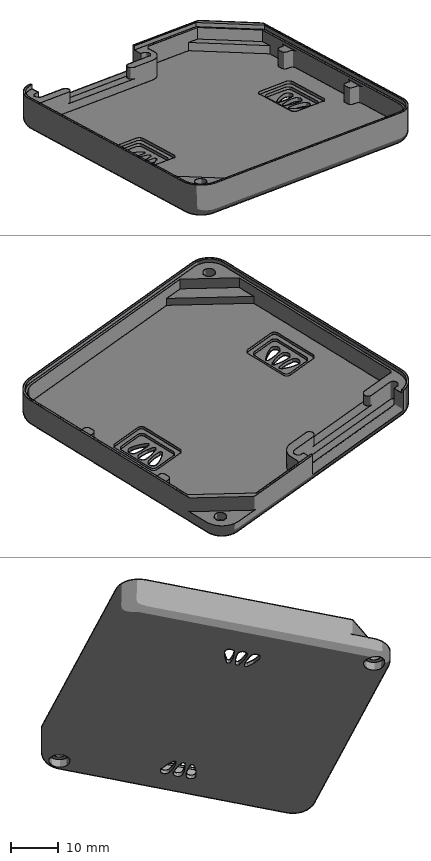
import cadquery as cq
SIDE = 60.0
HEIGHT = 7.85
HALF = SIDE / 2
CORNER_RADIUS = 5.0
BOTTOM_FILLET = 2.15

RIM_THICKNESS = 0.5
WALL_THICKNESS = 1.0
LEDGE_DEPTH = 0.95
FLOOR_Z = 2.3
LEDGE_Z = HEIGHT - LEDGE_DEPTH
INNER_HALF = HALF - WALL_THICKNESS

NOTCH_DIAGONAL = 50.4
NOTCH_RIM_DIAGONAL = 48.9
NOTCH_WALL_DIAGONAL = 48.35
NOTCH_STEP_DIAGONAL = 45.9
NOTCH_SHELF_Z = 4.0
NOTCH_EDGE_FILLET = 0.85
SHELF_DIAGONAL = 49.2
SHELF_STEP_DIAGONAL = 45.05
STEP_Z = 4.2

NOTCH_SCREW = (-26.15, 26.7)
SHELF_SCREW = (26.0, -25.9)
SCREW_DIAMETER = 2.6
SCREW_HEAD_DIAMETER = 4.4
SCREW_HEAD_DEPTH = 2.0

BLOCK_RIGHT_X = -23.4
BLOCK_TOP_Y = 5.2
BLOCK_CORNER_RADIUS = 3.0
BLOCK_ROOT_RADIUS = 1.0
BLOCK_FOOT_RADIUS = 0.5
SLOT_LEFT_X = -27.35
SLOT_WIDTH = 2.0
SLOT_RIGHT_X = SLOT_LEFT_X + SLOT_WIDTH
SLOT_END_RADIUS = 0.999 * SLOT_WIDTH / 2
SLOT_TOP_Y = 4.0
SLOT_BOTTOM_Y = -27.2
SLOT_FLOOR_Z = 2.05
OPENING_TOP_Y = 2.5
OPENING_BOTTOM_Y = -25.4
SILL_Z = 2.35
SILL_FILLET = 0.5
WINDOW_TOP_Y = -3.55
WINDOW_BOTTOM_Y = -19.55
WINDOW_Z = 4.2

PEG_XS = (-10.7, 10.8)
PEG_WIDTH = 2.6
PEG_TIP_Y = 26.6
PEG_TIP_RADIUS = 0.85
PEG_ROOT_RADIUS = 0.9
PEG_TOP_Z = 6.2

VENT_X = 1.0
VENT_TOP_Y = 19.85
VENT_BOTTOM_Y = -21.0
VENT_OUTER_SIZE = (12.0, 9.0)
VENT_INNER_SIZE = (10.0, 7.0)
VENT_CORNER_RADIUS = 1.0
VENT_STEP = 0.65
DROP_HEAD_RADIUS = 1.0
DROP_TIP_RADIUS = 0.4
DROP_HEAD_Y = 1.45
DROP_TIP_Y = -2.0
DROP_BULGE = 0.2
DROP_SPACING = 2.45
DROP_TILT = 15.0


def box(x0, x1, y0, y1, z0, z1):
    """Box between opposite corners."""
    size = (x1 - x0, y1 - y0, z1 - z0)
    return cq.Workplane("XY").box(*size, centered=False).translate((x0, y0, z0))


def rounded_square(half, radius, z0, z1):
    """Centred square prism with rounded vertical edges."""
    return box(-half, half, -half, half, z0, z1).edges("|Z").fillet(radius)


def corner_region(diagonal, x_sign, z0, z1):
    """Triangular prism over the corner at (x_sign, -x_sign), outside the diagonal."""
    near = diagonal - SIDE
    points = [
        (x_sign * near, -x_sign * SIDE),
        (x_sign * SIDE, -x_sign * SIDE),
        (x_sign * SIDE, -x_sign * near),
    ]
    return cq.Workplane("XY").workplane(offset=z0).polyline(points).close().extrude(z1 - z0)


def fillet_nearest(solid, point, radius):
    """Fillet the one edge whose centre is nearest to the point."""
    return solid.edges(cq.selectors.NearestToPointSelector(point)).fillet(radius)


def side_block():
    """Solid beside the cavity that carries the slot, up to the ledge."""
    block = box(-INNER_HALF, BLOCK_RIGHT_X, -INNER_HALF, BLOCK_TOP_Y, 0, LEDGE_Z)
    return block.edges("|Z and >X and >Y").fillet(BLOCK_CORNER_RADIUS)


def peg(x):
    """Rounded peg standing out from the +Y wall, with flared roots."""
    half = PEG_WIDTH / 2
    flare = half + PEG_ROOT_RADIUS
    neck_y = INNER_HALF - PEG_ROOT_RADIUS
    back_y = HALF - RIM_THICKNESS
    shoulder_y = PEG_TIP_Y + PEG_TIP_RADIUS
    tip_half = half - PEG_TIP_RADIUS
    return (
        cq.Workplane("XY")
        .moveTo(x - flare, back_y)
        .lineTo(x - flare, INNER_HALF)
        .radiusArc((x - half, neck_y), PEG_ROOT_RADIUS)
        .lineTo(x - half, shoulder_y)
        .radiusArc((x - tip_half, PEG_TIP_Y), -PEG_TIP_RADIUS)
        .lineTo(x + tip_half, PEG_TIP_Y)
        .radiusArc((x + half, shoulder_y), -PEG_TIP_RADIUS)
        .lineTo(x + half, neck_y)
        .radiusArc((x + flare, INNER_HALF), PEG_ROOT_RADIUS)
        .lineTo(x + flare, back_y)
        .close()
        .extrude(PEG_TOP_Z)
    )


def cavity():
    """Main pocket from floor to ledge, leaving the block, pegs and corner fillings."""
    pocket = rounded_square(INNER_HALF, CORNER_RADIUS - WALL_THICKNESS, FLOOR_Z, LEDGE_Z)
    pocket = pocket.cut(corner_region(NOTCH_WALL_DIAGONAL, -1, 0, LEDGE_Z))
    pocket = pocket.cut(corner_region(NOTCH_STEP_DIAGONAL, -1, 0, STEP_Z))
    pocket = pocket.cut(corner_region(SHELF_DIAGONAL, 1, 0, LEDGE_Z))
    pocket = pocket.cut(corner_region(SHELF_STEP_DIAGONAL, 1, 0, STEP_Z))
    pocket = pocket.cut(side_block())
    middle_z = (FLOOR_Z + LEDGE_Z) / 2
    pocket = fillet_nearest(pocket, (-INNER_HALF, BLOCK_TOP_Y, middle_z), BLOCK_ROOT_RADIUS)
    pocket = fillet_nearest(pocket, (BLOCK_RIGHT_X, -INNER_HALF, middle_z), BLOCK_FOOT_RADIUS)
    for x in PEG_XS:
        pocket = pocket.cut(peg(x))
    return pocket


def ledge():
    """Shallow pocket inside the rim."""
    pocket = rounded_square(HALF - RIM_THICKNESS, CORNER_RADIUS - RIM_THICKNESS, LEDGE_Z, HEIGHT)
    return pocket.cut(corner_region(NOTCH_RIM_DIAGONAL, -1, LEDGE_Z, HEIGHT))


def slot():
    """Round-ended slot along the side block."""
    cutter = box(SLOT_LEFT_X, SLOT_RIGHT_X, SLOT_BOTTOM_Y, SLOT_TOP_Y, SLOT_FLOOR_Z, HEIGHT)
    return cutter.edges("|Z").fillet(SLOT_END_RADIUS)


def opening():
    """Side opening from the outer wall to the slot, filleted along its sill ends."""
    middle_x = (SLOT_LEFT_X + SLOT_RIGHT_X) / 2
    cutter = box(-SIDE, middle_x, OPENING_BOTTOM_Y, OPENING_TOP_Y, SILL_Z, HEIGHT)
    return cutter.edges("|X and <Z").fillet(SILL_FILLET)


def window():
    """Gap in the wall between slot and cavity; the wall stubs end in full rounds."""
    radius = (BLOCK_RIGHT_X - SLOT_RIGHT_X) / 2
    middle_x = SLOT_RIGHT_X + radius
    low_y = WINDOW_BOTTOM_Y - radius
    high_y = WINDOW_TOP_Y + radius
    gap = box(SLOT_RIGHT_X, BLOCK_RIGHT_X, low_y, high_y, WINDOW_Z, HEIGHT)
    stubs = cq.Workplane("XY").pushPoints([(middle_x, low_y), (middle_x, high_y)])
    return gap.cut(stubs.circle(radius).extrude(HEIGHT))


def drop():
    """Drop-shaped vent hole with its wide head toward +Y."""
    side_y = (DROP_HEAD_Y + DROP_TIP_Y) / 2
    side_x = (DROP_HEAD_RADIUS + DROP_TIP_RADIUS) / 2 + DROP_BULGE
    return (
        cq.Workplane("XY")
        .moveTo(-DROP_HEAD_RADIUS, DROP_HEAD_Y)
        .threePointArc((0, DROP_HEAD_Y + DROP_HEAD_RADIUS), (DROP_HEAD_RADIUS, DROP_HEAD_Y))
        .threePointArc((side_x, side_y), (DROP_TIP_RADIUS, DROP_TIP_Y))
        .threePointArc((0, DROP_TIP_Y - DROP_TIP_RADIUS), (-DROP_TIP_RADIUS, DROP_TIP_Y))
        .threePointArc((-side_x, side_y), (-DROP_HEAD_RADIUS, DROP_HEAD_Y))
        .close()
        .extrude(HEIGHT)
    )


def vent_recess(size, depth):
    """Rounded rectangular recess sunk below the cavity floor."""
    recess = cq.Workplane("XY").rect(*size).extrude(depth).edges("|Z").fillet(VENT_CORNER_RADIUS)
    return recess.translate((0, 0, FLOOR_Z - depth))


def vent():
    """Two-step recess with three drop-shaped holes, centred on the Z axis."""
    cutter = vent_recess(VENT_OUTER_SIZE, VENT_STEP)
    cutter = cutter.union(vent_recess(VENT_INNER_SIZE, 2 * VENT_STEP))
    for side in (-1, 0, 1):
        hole = drop().rotate((0, 0, 0), (0, 0, 1), -side * DROP_TILT)
        cutter = cutter.union(hole.translate((side * DROP_SPACING, 0, 0)))
    return cutter


body = rounded_square(HALF, CORNER_RADIUS, 0, HEIGHT).faces("<Z").edges().fillet(BOTTOM_FILLET)
body = body.cut(cavity()).cut(ledge())

body = body.cut(corner_region(NOTCH_DIAGONAL, -1, NOTCH_SHELF_Z, HEIGHT))
notch_middle_z = (NOTCH_SHELF_Z + HEIGHT) / 2
for edge_x, edge_y in ((-HALF, NOTCH_DIAGONAL - HALF), (HALF - NOTCH_DIAGONAL, HALF)):
    body = fillet_nearest(body, (edge_x, edge_y, notch_middle_z), NOTCH_EDGE_FILLET)

body = body.cut(slot()).cut(opening()).cut(window())

upper_vent = vent().translate((VENT_X, VENT_TOP_Y, 0))
lower_vent = vent().mirror("XZ").translate((VENT_X, VENT_BOTTOM_Y, 0))
body = body.cut(upper_vent).cut(lower_vent)

screws = cq.Workplane("XY").pushPoints([NOTCH_SCREW, SHELF_SCREW])
holes = screws.circle(SCREW_DIAMETER / 2).extrude(HEIGHT)
heads = screws.circle(SCREW_HEAD_DIAMETER / 2).extrude(SCREW_HEAD_DEPTH)
result = body.cut(holes).cut(heads)